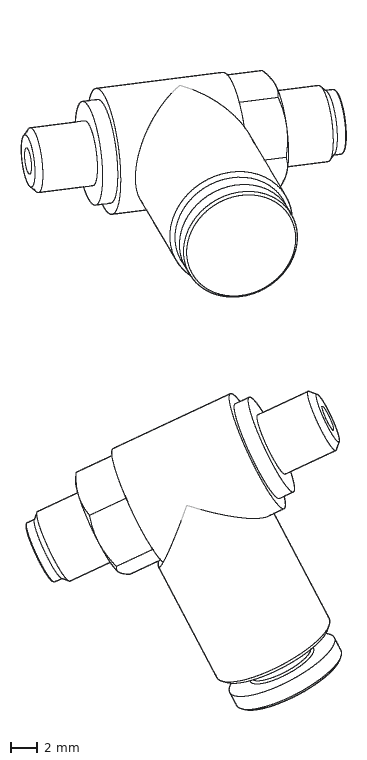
import cadquery as cq
import math


body_radius = 4.85
body_front = -6.0
body_length = 10.0
body_back = body_front + body_length
collar_radius = 4.0
collar_length = 1.2
stud_radius = 2.5
stud_end = -12.0
stud_chamfer = 0.5
bore_radius = 1.0

hex_across_flats = 7.99
hex_length = 3.5
hex_back = body_back + hex_length
hex_chamfer_angle = 30
spigot_radius = 2.95
spigot_shoulder = 11.75
tip_radius = 2.5
tip_end = stud_end + 24.5
tip_chamfer = 0.07

branch_end = 15.12
branch_chamfer = 0.32
neck_radius = 2.55
neck_flare = 0.17
button_start = 16.32
button_end = 17.7
button_radius = 4.5
button_chamfer = 0.2


def rod_y(radius, start, end):
    """Cylinder on the main axis between two Y positions."""
    return cq.Workplane("XZ", origin=(0, start, 0)).circle(radius).extrude(start - end)


def rod_x(radius, start, end):
    """Cylinder on the branch axis between two X positions."""
    return cq.Workplane("YZ", origin=(start, 0, 0)).circle(radius).extrude(end - start)


def make_hexagon():
    """Hexagon with corners on +X and -X, its back corners cut by a cone."""
    across_corners = hex_across_flats / math.cos(math.radians(30))
    prism = (
        cq.Workplane("XZ", origin=(0, body_back, 0))
        .polygon(6, across_corners)
        .extrude(-hex_length)
    )
    flat_radius = hex_across_flats / 2
    corner_radius = across_corners / 2
    corner_drop = (corner_radius - flat_radius) * math.tan(math.radians(hex_chamfer_angle))
    envelope = (
        cq.Workplane("XY")
        .moveTo(0, body_back)
        .lineTo(corner_radius, body_back)
        .lineTo(corner_radius, hex_back - corner_drop)
        .lineTo(flat_radius, hex_back)
        .lineTo(0, hex_back)
        .close()
        .revolve(360, (0, 0, 0), (0, 1, 0))
    )
    return prism.intersect(envelope)


def make_main_axis():
    """Body, collar, stud, hexagon and spigot in line along Y."""
    collar_front = body_front - collar_length
    body = rod_y(body_radius, body_front, body_back)
    collar = rod_y(collar_radius, collar_front, body_front)
    stud = rod_y(stud_radius, stud_end, collar_front).faces("<Y").chamfer(stud_chamfer)
    spigot = (
        rod_y(spigot_radius, hex_back, spigot_shoulder)
        .faces(">Y")
        .chamfer(spigot_radius - tip_radius)
    )
    tip = rod_y(tip_radius, spigot_shoulder, tip_end).faces(">Y").chamfer(tip_chamfer)
    return body.union(collar).union(stud).union(make_hexagon()).union(spigot).union(tip)


def make_branch():
    """Mitred side tube, flared neck and release button along X."""
    tube = rod_x(body_radius, 0, branch_end).faces(">X").chamfer(branch_chamfer)
    mitre = (
        cq.Workplane("XY")
        .polyline([
            (0, 0),
            (body_radius, body_radius),
            (branch_end, body_radius),
            (branch_end, -body_radius),
            (body_radius, -body_radius),
        ])
        .close()
        .extrude(body_radius, both=True)
    )
    neck = rod_x(neck_radius, branch_end, button_start)
    flare = (
        cq.Workplane("XY")
        .moveTo(button_start - neck_flare, 0)
        .lineTo(button_start - neck_flare, neck_radius)
        .lineTo(button_start, neck_radius + neck_flare)
        .lineTo(button_start, 0)
        .close()
        .revolve(360, (0, 0, 0), (1, 0, 0))
    )
    button = rod_x(button_radius, button_start, button_end).faces(">X").chamfer(button_chamfer)
    return tube.intersect(mitre).union(neck).union(flare).union(button)


bore = rod_y(bore_radius, stud_end, 0)
result = make_main_axis().union(make_branch()).cut(bore)